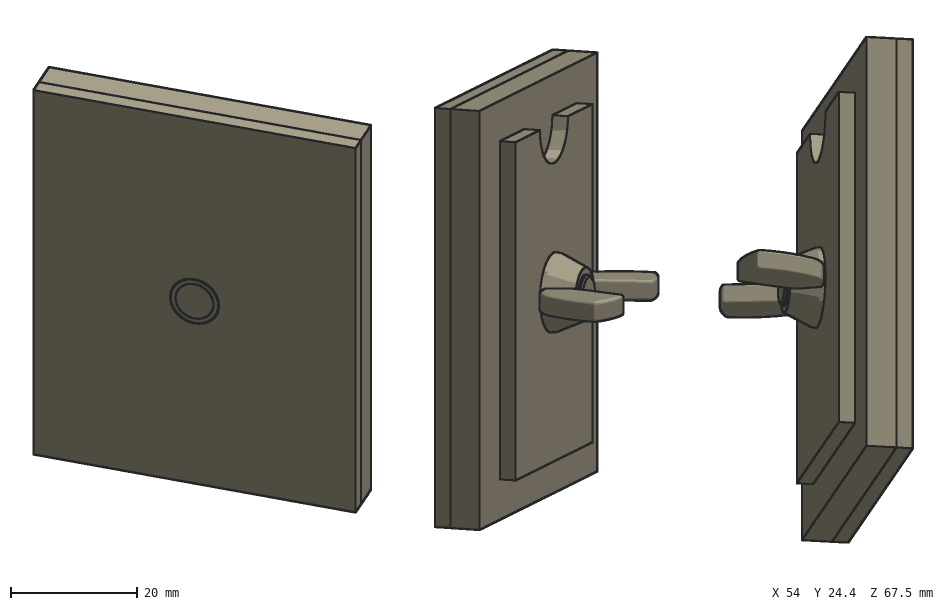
import cadquery as cq

PLATE_WIDTH = 54.0
PLATE_HEIGHT = 67.5
FRONT_THICKNESS = 2.6
MIDDLE_THICKNESS = 4.85
BACK_WIDTH = 35.1
BACK_HEIGHT = 54.45
BACK_THICKNESS = 2.6
NOTCH_DIAMETER = 12.8

COLLAR_DIAMETER = 7.95
COLLAR_HOLE_DIAMETER = 8.15

BOLT_DIAMETER = 6.35
BOLT_LENGTH = 16.0
TIP_CHAMFER = 0.35

HUB_BASE_DIAMETER = 12.8
HUB_RIM_TOP_DIAMETER = 12.55
HUB_TOP_DIAMETER = 8.6
HUB_RIM_HEIGHT = 0.75
HUB_HEIGHT = 5.2

WING_ROOT_X = 3.85
WING_ROOT_TOP_Y = 15.2
WING_BOTTOM = (6.3, 10.45)
WING_INNER_CORNER = (6.35, 24.35)
WING_TOP_ARC_MIDDLE = (10.45, 23.9)
WING_OUTER_CORNER = (13.9, 22.3)
WING_SIDE_ARC_MIDDLE = (13.1, 17.4)
WING_SIDE_ARC_END = (10.9, 12.8)

WING_THICKNESS = 3.4
INNER_CORNER_RADIUS = 0.7
OUTER_CORNER_RADIUS = 0.6
WING_EDGE_RADIUS = 0.55

middle_start = FRONT_THICKNESS
back_start = middle_start + MIDDLE_THICKNESS
nut_start = back_start + BACK_THICKNESS


def cylinder(diameter, start, length):
    """Cylinder on the bolt axis, running from Y = start toward +Y."""
    return cq.Workplane("XZ", origin=(0, start, 0)).circle(diameter / 2).extrude(-length)


def plate(width, height, start, thickness):
    """Rectangular plate centred on the bolt axis, its front face at Y = start."""
    return cq.Workplane("XZ", origin=(0, start, 0)).rect(width, height).extrude(-thickness)


def bolt_hole():
    """Bore for the bolt, through everything it passes."""
    return cylinder(BOLT_DIAMETER, 0, BOLT_LENGTH)


def make_front_plate():
    body = plate(PLATE_WIDTH, PLATE_HEIGHT, 0, FRONT_THICKNESS)
    return body.cut(cylinder(COLLAR_HOLE_DIAMETER, 0, FRONT_THICKNESS))


def make_middle_plate():
    """Plate with a collar that reaches through the front plate and ends flush with it."""
    body = plate(PLATE_WIDTH, PLATE_HEIGHT, middle_start, MIDDLE_THICKNESS)
    collar = cylinder(COLLAR_DIAMETER, 0, middle_start)
    return body.union(collar).cut(bolt_hole())


def make_back_plate():
    """Smaller plate with a half-round notch in the middle of its top edge."""
    body = plate(BACK_WIDTH, BACK_HEIGHT, back_start, BACK_THICKNESS)
    notch = cylinder(NOTCH_DIAMETER, back_start, BACK_THICKNESS).translate((0, 0, BACK_HEIGHT / 2))
    return body.cut(notch).cut(bolt_hole())


def make_bolt():
    return cylinder(BOLT_DIAMETER, 0, BOLT_LENGTH).faces(">Y").chamfer(TIP_CHAMFER)


def make_hub():
    """Cone of the wing nut, standing on a short, slightly tapered rim."""
    base_radius = HUB_BASE_DIAMETER / 2
    rim_top_radius = HUB_RIM_TOP_DIAMETER / 2
    top_radius = HUB_TOP_DIAMETER / 2
    rim_end = nut_start + HUB_RIM_HEIGHT
    hub_end = nut_start + HUB_HEIGHT
    half_section = (
        cq.Workplane("XY")
        .moveTo(0, nut_start)
        .lineTo(base_radius, nut_start)
        .lineTo(rim_top_radius, rim_end)
        .lineTo(top_radius, hub_end)
        .lineTo(0, hub_end)
        .close()
    )
    return half_section.revolve(360, (0, 0, 0), (0, 1, 0))


def wing_corner(point):
    """Selects the edge along Z that passes through an outline point."""
    return cq.selectors.NearestToPointSelector((*point, 0))


def make_wing():
    """Wing on the +X side, its root buried in the hub and the edges of its two faces rounded."""
    outline = (
        cq.Workplane("XY", origin=(0, 0, -WING_THICKNESS / 2))
        .moveTo(WING_ROOT_X, WING_ROOT_TOP_Y)
        .lineTo(*WING_INNER_CORNER)
        .threePointArc(WING_TOP_ARC_MIDDLE, WING_OUTER_CORNER)
        .threePointArc(WING_SIDE_ARC_MIDDLE, WING_SIDE_ARC_END)
        .tangentArcPoint(WING_BOTTOM, relative=False)
        .lineTo(WING_ROOT_X, WING_BOTTOM[1])
        .close()
    )
    wing = outline.extrude(WING_THICKNESS)
    wing = wing.edges("|Z").edges(wing_corner(WING_INNER_CORNER)).fillet(INNER_CORNER_RADIUS)
    wing = wing.edges("|Z").edges(wing_corner(WING_OUTER_CORNER)).fillet(OUTER_CORNER_RADIUS)
    return wing.faces("|Z").edges().fillet(WING_EDGE_RADIUS)


def make_wing_nut():
    right_wing = make_wing()
    left_wing = right_wing.mirror("YZ")
    return make_hub().union(right_wing).union(left_wing).cut(bolt_hole())


front_plate = make_front_plate()
middle_plate = make_middle_plate()
back_plate = make_back_plate()
bolt = make_bolt()
wing_nut = make_wing_nut()

result = cq.Compound.makeCompound(
    [
        front_plate.val(),
        middle_plate.val(),
        back_plate.val(),
        bolt.val(),
        wing_nut.val(),
    ]
)